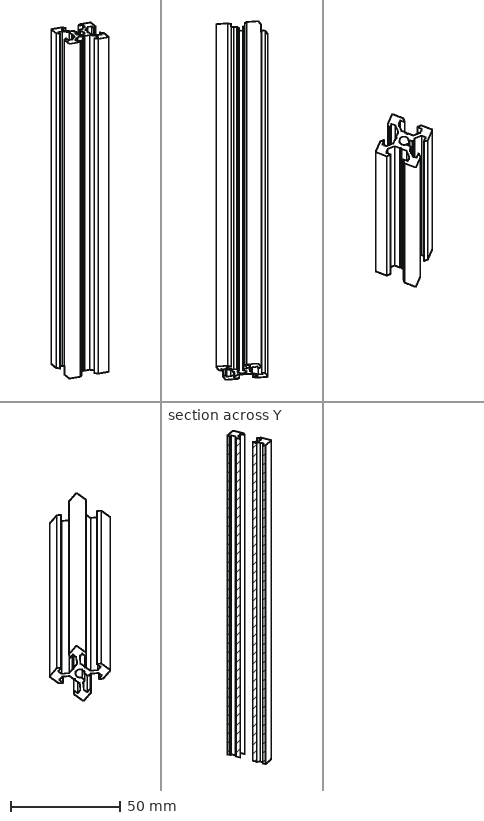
import cadquery as cq
import math

length = 165.0
side = 20.0
corner_radius = 0.3
slot_mouth = 8.9
slot_throat = 6.3
lip_thickness = 1.53
slot_inner_width = 10.7
core_side = 8.1
arm_thickness = 1.57
bore_diameter = 4.1
groove_width = 1.0
groove_depth = 0.41
opening_mouth = 3.3
opening_waist = 2.5
opening_throat = 1.6

half_side = side / 2
half_core = core_side / 2
half_inner = slot_inner_width / 2
flank_offset = arm_thickness / math.sqrt(2)


def prism(points):
    """Extrude a closed outline over the full length."""
    return cq.Workplane("XY").polyline(points).close().extrude(length)


def symmetric_about_x(upper_points):
    """Complete an outline from its +Y half."""
    return upper_points + [(x, -y) for x, y in reversed(upper_points)]


def slot():
    """T-slot on the +X side, with 45 degree mouth chamfers and sloping inner flanks."""
    chamfer = (slot_mouth - slot_throat) / 2
    lip_back = half_side - lip_thickness
    return prism(symmetric_about_x([
        (half_side, slot_mouth / 2),
        (half_side - chamfer, slot_throat / 2),
        (lip_back, slot_throat / 2),
        (lip_back, half_inner),
        (half_inner + flank_offset, half_inner),
        (half_core, half_core - flank_offset),
    ]))


def centring_groove():
    """V-groove along the middle of the +X slot floor."""
    return prism([
        (half_core, groove_width / 2),
        (half_core - groove_depth, 0),
        (half_core, -groove_width / 2),
    ])


def bore_opening():
    """Gap from the -X slot floor into the bore, narrowed by two 45 degree bevels."""
    bore_radius = bore_diameter / 2
    throat_depth = math.sqrt(bore_radius**2 - (opening_throat / 2) ** 2)
    outer_bevel = (opening_mouth - opening_waist) / 2
    inner_bevel = (opening_waist - opening_throat) / 2
    return prism(symmetric_about_x([
        (-half_core, opening_mouth / 2),
        (-half_core + outer_bevel, opening_waist / 2),
        (-throat_depth - inner_bevel, opening_waist / 2),
        (-throat_depth, opening_throat / 2),
    ]))


def turned(body, angle):
    """Rotate a body about the extrusion axis."""
    return body.rotate((0, 0, 0), (0, 0, 1), angle)


result = (
    cq.Workplane("XY")
    .rect(side, side)
    .extrude(length)
    .edges("|Z")
    .fillet(corner_radius)
)

for angle in (0, 90, 180, 270):
    result = result.cut(turned(slot(), angle))

for angle in (0, 90, 270):
    result = result.cut(turned(centring_groove(), angle))

bore = cq.Workplane("XY").circle(bore_diameter / 2).extrude(length)
result = result.cut(bore).cut(bore_opening())